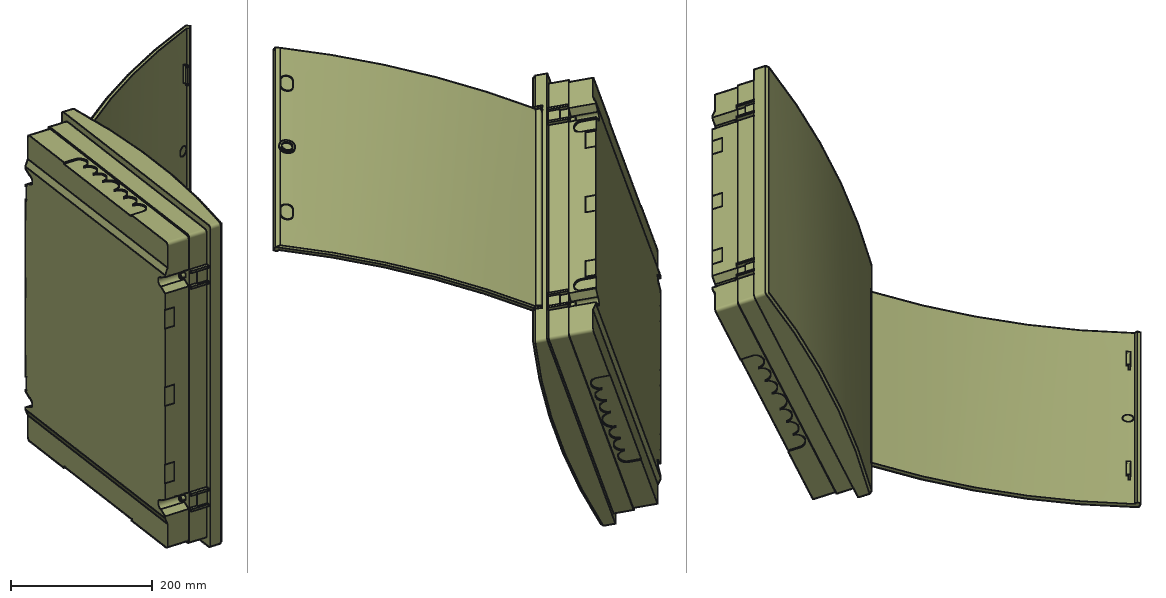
import cadquery as cq
import math


FRAME_WIDTH = 392.0
FRAME_HEIGHT = 522.0
FRAME_BACK_Y = 68.5
FRAME_EDGE_Y = 89.0
FRAME_CROWN_Y = 106.0
FRAME_CORNER_RADIUS = 5.0
FRAME_FRONT_CHAMFER = 3.5

COLLAR_WIDTH = 372.0
COLLAR_HEIGHT = 500.5
TUB_WIDTH = 369.0
TUB_HEIGHT = 496.0
STEP_Y = 39.5
HOUSING_CORNER_RADIUS = 5.0

END_STEP_Y = 4.0
SLOPE_INNER_Z = 197.0
SLOPE_OUTER_Z = 208.0

SCREW_X = 173.5
SCREW_Z = 180.5
SCREW_DIAMETER = 8.0
SCREW_HOLE_DIAMETER = 4.0
SCREW_HOLE_DEPTH = 12.0
SCREW_BACK_Y = 32.0
SCREW_FRONT_Y = 54.5
CHANNEL_RADIUS = 7.0
CHANNEL_MOUTH_HALF = 13.5
FIN_TIP_X = 191.5
FIN_THICKNESS = 3.5
FIN_OFFSET_Z = 13.0
FIN_PAD_X = 188.0
FIN_PAD_BACK_Y = 51.5

KNOCKOUT_DEPTH = 2.5
SCALLOP_RADIUS = 12.0
SCALLOP_CENTRE_Y = 22.5
SCALLOP_PITCH = 25.0
SCALLOPS_EACH_SIDE = 3
MIDDLE_SCALLOP_RADIUS = 15.0
SIDE_KNOCKOUT_Z = 154.5
SIDE_KNOCKOUT_RADIUS = 11.0
SIDE_KNOCKOUT_TOP_Y = 32.0
NOTCH_Z = 125.5
NOTCH_HEIGHT = 30.5
NOTCH_TOP_Y = 15.0
NOTCH_DEPTH = 0.3

DOOR_HEIGHT = 390.5
DOOR_THICKNESS = 8.0
DOOR_HINGE_X, DOOR_HINGE_Y = -196.5, 85.0
DOOR_TIP_X, DOOR_TIP_Y = -407.0, 403.0
DOOR_BULGE = 16.0
DOOR_EDGE_CHAMFER = 2.5
LIP_SIDE_LENGTH = 7.0
LIP_END_X, LIP_END_Y = -402.0, 414.5
LIP_ROOT_Y = 410.5

OVAL_FROM_TIP = 10.0
OVAL_Z = 125.5
OVAL_LENGTH = 29.0
OVAL_WIDTH = 17.5
OVAL_DEPTH = 1.0
HOOK_FROM_TIP = 8.0
HOOK_LENGTH = 10.0
HOOK_THICKNESS = 3.0
HOOK_BARB = 6.0
LOCK_FROM_TIP = 10.0
LOCK_HEAD_DIAMETER = 23.0
LOCK_HEAD_HEIGHT = 2.8
LOCK_SHANK_DIAMETER = 16.0
LOCK_FACE_RECESS = 1.0

HINGE_X, HINGE_Y = -192.0, 80.5
HINGE_SLOT_X = -187.0
HINGE_SLOT_BACK_Y = 75.0
HINGE_SLOT_LENGTH = 395.0
BARREL_DIAMETER = 8.0
BARREL_LENGTH = 383.0
HINGE_PIN_DIAMETER = 4.0
HINGE_PIN_LENGTH = 13.5

CHORD_X = DOOR_TIP_X - DOOR_HINGE_X
CHORD_Y = DOOR_TIP_Y - DOOR_HINGE_Y
CHORD = math.hypot(CHORD_X, CHORD_Y)
DOOR_RADIUS = (CHORD**2 / 4 + DOOR_BULGE**2) / (2 * DOOR_BULGE)
CENTRE_DISTANCE = DOOR_RADIUS - DOOR_BULGE
CENTRE_X = (DOOR_TIP_X + DOOR_HINGE_X) / 2 + CENTRE_DISTANCE * CHORD_Y / CHORD
CENTRE_Y = (DOOR_TIP_Y + DOOR_HINGE_Y) / 2 - CENTRE_DISTANCE * CHORD_X / CHORD
TIP_ANGLE = math.atan2(DOOR_TIP_Y - CENTRE_Y, DOOR_TIP_X - CENTRE_X) % (2 * math.pi)
HINGE_ANGLE = math.atan2(DOOR_HINGE_Y - CENTRE_Y, DOOR_HINGE_X - CENTRE_X) % (2 * math.pi)

CORNERS = [(side, level) for side in (-1, 1) for level in (-1, 1)]


def box(x_range, y_range, z_range):
    """Box between pairs of limits, given in either order."""
    size = [abs(high - low) for low, high in (x_range, y_range, z_range)]
    corner = [min(limits) for limits in (x_range, y_range, z_range)]
    return cq.Workplane("XY").box(*size, centered=False).translate(tuple(corner))


def block_along_y(width, height, back_y, front_y):
    """Block centred on the Y axis."""
    return box((-width / 2, width / 2), (back_y, front_y), (-height / 2, height / 2))


def cylinder_along_y(x, z, diameter, back_y, front_y):
    plane = cq.Plane(origin=(x, back_y, z), xDir=(1, 0, 0), normal=(0, 1, 0))
    return cq.Workplane(plane).circle(diameter / 2).extrude(front_y - back_y)


def cylinder_along_z(x, y, diameter, low_z, high_z):
    return cq.Workplane("XY", origin=(x, y, low_z)).circle(diameter / 2).extrude(high_z - low_z)


def door_point(angle, depth):
    """Point of the door's curve at an angle, at a depth below the outer face."""
    radius = DOOR_RADIUS - depth
    return (CENTRE_X + radius * math.cos(angle), CENTRE_Y + radius * math.sin(angle))


def door_face_plane(from_tip, z):
    """Plane on the door's outer face: local Z points out of the face, local X runs along world Z."""
    angle = TIP_ANGLE + from_tip / DOOR_RADIUS
    outward = (math.cos(angle), math.sin(angle), 0)
    return cq.Plane(origin=(*door_point(angle, 0), z), xDir=(0, 0, 1), normal=outward)



def screw_channel(side, level):
    """Channel open to the side and the back, its mouth flared and its bottom round."""
    mouth_x = TUB_WIDTH / 2
    flare = (
        cq.Workplane("XZ")
        .moveTo(SCREW_X, -CHANNEL_RADIUS)
        .lineTo(mouth_x, -CHANNEL_MOUTH_HALF)
        .lineTo(mouth_x, CHANNEL_MOUTH_HALF)
        .lineTo(SCREW_X, CHANNEL_RADIUS)
        .threePointArc((SCREW_X - CHANNEL_RADIUS, 0), (SCREW_X, -CHANNEL_RADIUS))
        .close()
        .extrude(-STEP_Y)
    )
    if side < 0:
        flare = flare.mirror("YZ")
    return flare.translate((0, 0, level * SCREW_Z))


def screw_corner_fins(side, level):
    """Two fins on the collar with a lower pad between them."""
    root = side * (COLLAR_WIDTH / 2 - HOUSING_CORNER_RADIUS)
    middle_z = level * SCREW_Z
    pad = box(
        (root, side * FIN_PAD_X),
        (FIN_PAD_BACK_Y, FRAME_BACK_Y),
        (middle_z - FIN_OFFSET_Z, middle_z + FIN_OFFSET_Z),
    )
    fins = pad
    for offset in (-FIN_OFFSET_Z, FIN_OFFSET_Z):
        low_z = middle_z + offset - FIN_THICKNESS / 2
        fin = box((root, side * FIN_TIP_X), (STEP_Y, FRAME_BACK_Y), (low_z, low_z + FIN_THICKNESS))
        fins = fins.union(fin)
    return fins


def end_step(level):
    """Material removed behind the top or bottom end, with the sloping face."""
    outer_z = TUB_HEIGHT / 2
    profile = [(0, SLOPE_INNER_Z), (END_STEP_Y, SLOPE_OUTER_Z), (END_STEP_Y, outer_z), (0, outer_z)]
    points = [(y, level * z) for y, z in profile]
    return cq.Workplane("YZ").polyline(points).close().extrude(TUB_WIDTH / 2, both=True)


def scalloped_knockout(level):
    """Row of round-headed knockouts with a larger one in the middle."""
    surface_z = level * TUB_HEIGHT / 2
    floor_z = surface_z - level * KNOCKOUT_DEPTH
    low_z, high_z = min(surface_z, floor_z), max(surface_z, floor_z)
    first = MIDDLE_SCALLOP_RADIUS + SCALLOP_RADIUS
    heads = [(0, MIDDLE_SCALLOP_RADIUS)]
    for index in range(SCALLOPS_EACH_SIDE):
        heads += [(side * (first + index * SCALLOP_PITCH), SCALLOP_RADIUS) for side in (-1, 1)]
    half_row = first + (SCALLOPS_EACH_SIDE - 1) * SCALLOP_PITCH + SCALLOP_RADIUS
    row = box((-half_row, half_row), (0, SCALLOP_CENTRE_Y), (low_z, high_z))
    for x, radius in heads:
        row = row.union(cylinder_along_z(x, SCALLOP_CENTRE_Y, 2 * radius, low_z, high_z))
    return row


def side_knockout(level):
    """Round-headed knockout on the -X side."""
    surface_x = -TUB_WIDTH / 2
    centre_y = SIDE_KNOCKOUT_TOP_Y - SIDE_KNOCKOUT_RADIUS
    return (
        cq.Workplane("YZ", origin=(surface_x, 0, level * SIDE_KNOCKOUT_Z))
        .moveTo(0, -SIDE_KNOCKOUT_RADIUS)
        .lineTo(centre_y, -SIDE_KNOCKOUT_RADIUS)
        .threePointArc((SIDE_KNOCKOUT_TOP_Y, 0), (centre_y, SIDE_KNOCKOUT_RADIUS))
        .lineTo(0, SIDE_KNOCKOUT_RADIUS)
        .close()
        .extrude(KNOCKOUT_DEPTH)
    )


def back_notch(side, z):
    """Shallow rectangular notch where the side meets the back."""
    surface_x = side * TUB_WIDTH / 2
    return box(
        (surface_x - side * NOTCH_DEPTH, surface_x),
        (0, NOTCH_TOP_Y),
        (z - NOTCH_HEIGHT / 2, z + NOTCH_HEIGHT / 2),
    )


def make_housing():
    tub = block_along_y(TUB_WIDTH, TUB_HEIGHT, 0, STEP_Y).edges("|Y").fillet(HOUSING_CORNER_RADIUS)
    collar = block_along_y(COLLAR_WIDTH, COLLAR_HEIGHT, STEP_Y, FRAME_BACK_Y)
    body = tub.union(collar.edges("|Y").fillet(HOUSING_CORNER_RADIUS))
    for level in (-1, 1):
        body = body.cut(end_step(level)).cut(scalloped_knockout(level)).cut(side_knockout(level))
    for side in (-1, 1):
        for z in (-NOTCH_Z, 0, NOTCH_Z):
            body = body.cut(back_notch(side, z))
    for side, level in CORNERS:
        body = body.union(screw_corner_fins(side, level)).cut(screw_channel(side, level))
        body = body.cut(
            cylinder_along_y(side * SCREW_X, level * SCREW_Z, SCREW_DIAMETER, STEP_Y, SCREW_FRONT_Y)
        )
    return body



def make_screw(side, level):
    """Screw end with a blind axial hole, standing out into its channel."""
    x, z = side * SCREW_X, level * SCREW_Z
    shank = cylinder_along_y(x, z, SCREW_DIAMETER, SCREW_BACK_Y, SCREW_FRONT_Y)
    hole = cylinder_along_y(x, z, SCREW_HOLE_DIAMETER, SCREW_BACK_Y, SCREW_BACK_Y + SCREW_HOLE_DEPTH)
    return shank.cut(hole)



def make_hinge_pin(level):
    """Pin half in the end of the door's barrel and half in the frame."""
    middle_z = level * (BARREL_LENGTH + HINGE_SLOT_LENGTH) / 4
    low_z = middle_z - HINGE_PIN_LENGTH / 2
    return cylinder_along_z(HINGE_X, HINGE_Y, HINGE_PIN_DIAMETER, low_z, low_z + HINGE_PIN_LENGTH)



def make_frame(hinge_pins):
    half = FRAME_WIDTH / 2
    body = (
        cq.Workplane("XY")
        .moveTo(-half, FRAME_BACK_Y)
        .lineTo(half, FRAME_BACK_Y)
        .lineTo(half, FRAME_EDGE_Y)
        .threePointArc((0, FRAME_CROWN_Y), (-half, FRAME_EDGE_Y))
        .close()
        .extrude(FRAME_HEIGHT / 2, both=True)
    )
    body = body.edges("|Y").fillet(FRAME_CORNER_RADIUS)
    body = body.faces(">Y").chamfer(FRAME_FRONT_CHAMFER)
    slot = box(
        (-half, HINGE_SLOT_X),
        (HINGE_SLOT_BACK_Y, FRAME_CROWN_Y),
        (-HINGE_SLOT_LENGTH / 2, HINGE_SLOT_LENGTH / 2),
    )
    body = body.cut(slot)
    for pin in hinge_pins:
        body = body.cut(pin)
    return body



def make_lock():
    """Round lock with a recessed face, its shank filling the hole in the door."""
    face = door_face_plane(LOCK_FROM_TIP, 0)
    head = cq.Workplane(face).circle(LOCK_HEAD_DIAMETER / 2).extrude(LOCK_HEAD_HEIGHT)
    shank = cq.Workplane(face).circle(LOCK_SHANK_DIAMETER / 2).extrude(-DOOR_THICKNESS)
    recess = (
        cq.Workplane(face)
        .workplane(offset=LOCK_HEAD_HEIGHT - LOCK_FACE_RECESS)
        .circle(LOCK_SHANK_DIAMETER / 2)
        .extrude(LOCK_FACE_RECESS)
    )
    return head.union(shank).cut(recess)



def door_plate():
    """Curved plate with a bent lip on its free edge."""
    middle_angle = (TIP_ANGLE + HINGE_ANGLE) / 2
    plate = (
        cq.Workplane("XY")
        .moveTo(*door_point(HINGE_ANGLE, 0))
        .threePointArc(door_point(middle_angle, 0), door_point(TIP_ANGLE, 0))
        .lineTo(DOOR_TIP_X, DOOR_TIP_Y + LIP_SIDE_LENGTH)
        .lineTo(LIP_END_X, LIP_END_Y)
        .lineTo(LIP_END_X + DOOR_THICKNESS / 2, LIP_ROOT_Y)
        .lineTo(*door_point(TIP_ANGLE, DOOR_THICKNESS))
        .threePointArc(door_point(middle_angle, DOOR_THICKNESS), door_point(HINGE_ANGLE, DOOR_THICKNESS))
        .close()
        .extrude(DOOR_HEIGHT / 2, both=True)
    )
    rims = cq.selectors.RadiusNthSelector(-1)
    return plate.edges("%CIRCLE").edges(rims).chamfer(DOOR_EDGE_CHAMFER)


def hinge_barrel():
    """Barrel in the frame's slot and the leaf that joins it to the plate."""
    half = BARREL_LENGTH / 2
    barrel = cylinder_along_z(HINGE_X, HINGE_Y, BARREL_DIAMETER, -half, half)
    leaf = (
        cq.Workplane("XY")
        .polyline([
            (HINGE_X - BARREL_DIAMETER / 2, HINGE_Y),
            door_point(HINGE_ANGLE, 0),
            door_point(HINGE_ANGLE, DOOR_THICKNESS),
            (HINGE_X + BARREL_DIAMETER / 2, HINGE_Y),
        ])
        .close()
        .extrude(half, both=True)
    )
    return barrel.union(leaf)


def oval_recess(level):
    face = door_face_plane(OVAL_FROM_TIP, level * OVAL_Z)
    return cq.Workplane(face).slot2D(OVAL_LENGTH, OVAL_WIDTH).extrude(-OVAL_DEPTH)


def catch_hook(level):
    """Barbed catch standing on the inner face behind an oval."""
    face = door_face_plane(HOOK_FROM_TIP, level * OVAL_Z)
    root = cq.Workplane(face).workplane(offset=-DOOR_THICKNESS / 2)
    stem_length = DOOR_THICKNESS / 2 + HOOK_LENGTH
    stem = root.rect(OVAL_LENGTH, HOOK_THICKNESS).extrude(-stem_length)
    barb = (
        root.workplane(offset=-stem_length)
        .center(0, (HOOK_THICKNESS - HOOK_BARB) / 2)
        .rect(OVAL_LENGTH, HOOK_BARB)
        .extrude(HOOK_THICKNESS)
    )
    return stem.union(barb)


def make_door(lock, hinge_pins):
    body = door_plate().union(hinge_barrel())
    for level in (-1, 1):
        body = body.cut(oval_recess(level)).union(catch_hook(level))
    body = body.cut(lock)
    for pin in hinge_pins:
        body = body.cut(pin)
    return body


housing = make_housing()
screws = [make_screw(side, level) for side, level in CORNERS]
hinge_pins = [make_hinge_pin(level) for level in (-1, 1)]
frame = make_frame(hinge_pins)
lock = make_lock()
door = make_door(lock, hinge_pins)

result = cq.Compound.makeCompound([
    housing.solids().val(),
    frame.solids().val(),
    door.solids().val(),
    lock.solids().val(),
    *[screw.solids().val() for screw in screws],
    *[pin.solids().val() for pin in hinge_pins],
])